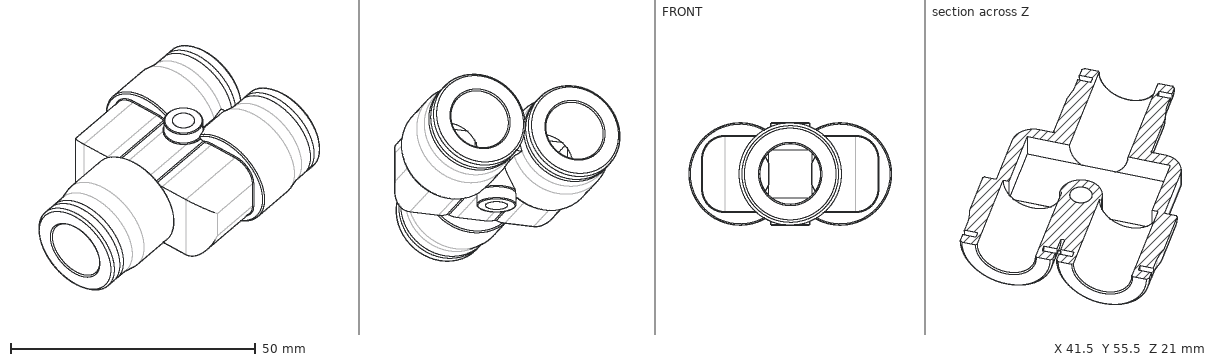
import cadquery as cq

total_length = 55.5
total_width = 41.5
front_end = -total_length / 2
rear_end = total_length / 2

sleeve_radius = 10.5
nose_radius = 9.9
neck_radius = 7.1
bore_radius = 6.2
port_length = 19.6
collar_depth = 2.3
nose_start = 3.5
cone_start = 6.4
cone_end = 9.5
collar_chamfer = 0.5
bore_chamfer = 0.3
sleeve_chamfer = 0.3
port_offset = total_width / 2 - sleeve_radius

bar_half = 7.7
corner_radius = 4.6
groove_depth = 0.37
foot_size = 0.2
body_front = front_end + port_length
body_rear = rear_end - port_length
body_half_width = port_offset + bar_half

web_half_height = 3.4
web_half_width = 1.0

boss_radius = 4.0
boss_half_height = sleeve_radius
boss_chamfer = 0.2
boss_setback = 19.95
boss_y = rear_end - boss_setback
hole_radius = 2.25
post_radius = 4.45
channel_half_height = 4.94
channel_front = body_front + bar_half - channel_half_height


def place_port(shape, x, is_front):
    """Move a shape modelled along -Y from the origin to its port position."""
    if is_front:
        return shape.rotate((0, 0, 0), (0, 0, 1), 180).translate((x, front_end, 0))
    return shape.translate((x, rear_end, 0))


def revolve_about_y(outline):
    return cq.Workplane("XY").polyline(outline).close().revolve(360, (0, 0, 0), (0, 1, 0))


def port_solid():
    return revolve_about_y([
        (0, 0),
        (nose_radius - collar_chamfer, 0),
        (nose_radius, -collar_chamfer),
        (nose_radius, -collar_depth),
        (neck_radius, -collar_depth),
        (neck_radius, -nose_start),
        (nose_radius, -nose_start),
        (nose_radius, -cone_start),
        (sleeve_radius, -cone_end),
        (sleeve_radius, -port_length + sleeve_chamfer),
        (sleeve_radius - sleeve_chamfer, -port_length),
        (0, -port_length),
    ])


def port_bore(depth):
    return revolve_about_y([
        (0, 0),
        (bore_radius + bore_chamfer, 0),
        (bore_radius, -bore_chamfer),
        (bore_radius, -depth),
        (0, -depth),
    ])


def box_between(x_half, y_min, y_max, z_half):
    box = cq.Workplane("XY").box(2 * x_half, y_max - y_min, 2 * z_half)
    return box.translate((0, (y_min + y_max) / 2, 0))


def upright_cylinder(radius, half_height):
    return cq.Workplane("XY").circle(radius).extrude(half_height, both=True).translate((0, boss_y, 0))


def body():
    bar = box_between(bar_half, body_front, body_rear, bar_half).edges("|Y").fillet(corner_radius)
    bars = box_between(port_offset, body_front, body_rear, bar_half - groove_depth)
    for x in (-port_offset, 0, port_offset):
        bars = bars.union(bar.translate((x, 0, 0)))
    plan = box_between(body_half_width, body_front, body_rear, bar_half)
    plan = plan.edges("|Z and <Y").fillet(corner_radius)
    return bars.intersect(plan)


def body_foot():
    """Small bevel that flares the outer bars where they meet the rear sleeves."""
    flare_half = bar_half + foot_size
    flare = box_between(flare_half, body_rear - foot_size, body_rear + foot_size, flare_half)
    flare = flare.edges("|Y").fillet(corner_radius + foot_size).faces("<Y").chamfer(foot_size)
    return flare.translate((-port_offset, 0, 0)).union(flare.translate((port_offset, 0, 0)))


def rear_web():
    return box_between(web_half_width, body_rear, rear_end - cone_start, web_half_height)


def boss():
    tube = upright_cylinder(boss_radius, boss_half_height).faces("<Z or >Z").chamfer(boss_chamfer)
    foot = upright_cylinder(boss_radius + foot_size, bar_half + foot_size)
    return tube.union(foot.faces("<Z or >Z").chamfer(foot_size))


def flow_channel():
    """Cross channel that joins the three bores, flowing around the hollow post."""
    channel = box_between(port_offset + channel_half_height, channel_front, body_rear, channel_half_height)
    return channel.cut(upright_cylinder(post_radius, channel_half_height))


ports = ((0, True), (-port_offset, False), (port_offset, False))

result = body().union(body_foot()).union(rear_web()).union(boss())
for port_x, is_front_port in ports:
    result = result.union(place_port(port_solid(), port_x, is_front_port))
for port_x, is_front_port in ports:
    bore_depth = channel_front - front_end if is_front_port else port_length
    result = result.cut(place_port(port_bore(bore_depth), port_x, is_front_port))
result = result.cut(flow_channel())
result = result.cut(upright_cylinder(hole_radius, boss_half_height))